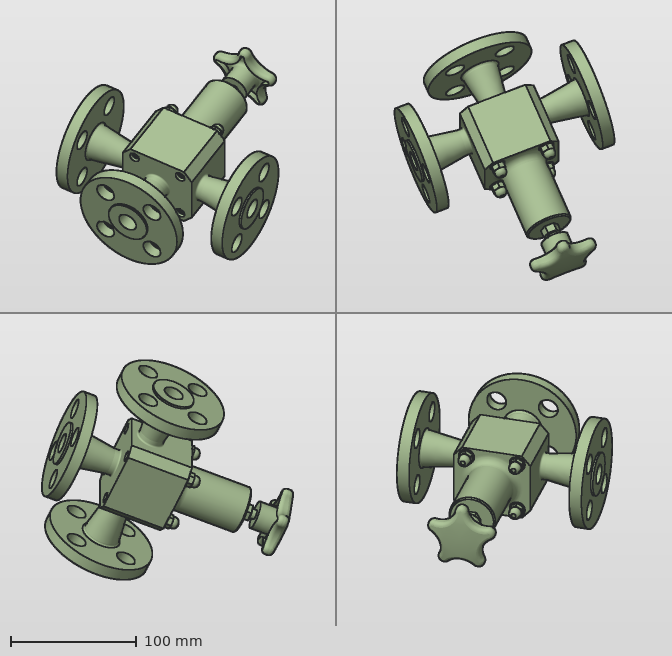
import cadquery as cq
import math


FACE_TO_FACE = 156.0
OVERALL_LENGTH = 192.3
WHEEL_TOP_Y = 129.6

BODY_HALF_X = 31.7
BODY_HALF_Z = 28.7
BODY_BACK_Y = 36.0
BODY_FRONT_Y = -16.2
CHAMFER_X = 7.1
CHAMFER_Z = 8.0

SIDE_REACH = FACE_TO_FACE / 2
FRONT_REACH = OVERALL_LENGTH - WHEEL_TOP_Y
SIDE_FLANGE_THICKNESS = 10.2
FRONT_FLANGE_THICKNESS = 9.6
FLANGE_DIAMETER = 88.9
RAISED_FACE_DIAMETER = 35.0
RAISED_FACE_HEIGHT = 1.7
PORT_DIAMETER = 15.8
FLANGE_HOLE_DIAMETER = 15.8
FLANGE_HOLE_OFFSET = 21.3
NECK_DIAMETER = 21.3
NECK_START = 41.4
CONE_START = 14.0
CONE_DIAMETER = 29.8
FLANGE_FLARE = 1.3
WELD_FLARE = 1.3

BONNET_DIAMETER = 38.0
BONNET_TOP_Y = 93.5
BONNET_CHAMFER = 1.2
BONNET_FLARE = 6.3
HEX_ACROSS_CORNERS = 14.6
HEX_TOP_Y = 99.8
SPINDLE_DIAMETER = 7.9

STUD_OFFSET = 21.0
WASHER_DIAMETER = 12.7
WASHER_THICKNESS = 0.4
NUT_ACROSS_FLATS = 10.0
NUT_HEX_HEIGHT = 4.6
NUT_COLLAR_HEIGHT = 1.2
NUT_DOME_DIAMETER = 9.6
NUT_DOME_HEIGHT = 4.6
NUT_TIP_DIAMETER = 3.7
STUD_RECESS_DIAMETER = 8.3
STUD_RECESS_DEPTH = 3.8
STUD_DIAMETER = 7.5
STUD_END_HEIGHT = 1.2
STUD_CENTRE_DIAMETER = 4.5
STUD_CENTRE_DEPTH = 1.5

WHEEL_HUB_Y = 104.5
WHEEL_RIM_Y = 117.3
HUB_END_DIAMETER = 22.9
HUB_ROOT_DIAMETER = 22.5
LOBES = 5
LOBE_CENTRE = 23.8
LOBE_RADIUS = 5.0
HOLLOW_RADIUS = 14.5
CROWN_RADIUS = 111.5
RIM_FILLET = 3.7
WHEEL_WALL = 3.3
CAVITY_FLOOR_Y = 122.5
HUB_FILLET = 3.0

CORNER_TO_FLAT = 30
CORNERS = [(sx, sz) for sx in (-1, 1) for sz in (-1, 1)]


def solid_of_revolution(profile):
    """Turn an outline drawn as (radius, y) about the Y axis."""
    return profile.close().revolve(360, (0, 0, 0), (0, 1, 0))


def rod(diameter, y_start, y_end, x=0.0, z=0.0):
    """Cylinder along Y."""
    return cq.Workplane("XZ", origin=(x, y_start, z)).circle(diameter / 2).extrude(y_start - y_end)


def hexagon(across_corners, y_start, y_end, x=0.0, z=0.0, turn=0.0):
    """Hexagonal prism along Y, with two corners along X unless turned."""
    prism = cq.Workplane("XZ").polygon(6, across_corners).extrude(y_start - y_end)
    return prism.rotate((0, 0, 0), (0, 1, 0), turn).translate((x, y_start, z))


def make_body():
    flat_x = BODY_HALF_X - CHAMFER_X
    flat_z = BODY_HALF_Z - CHAMFER_Z
    outline = [
        (BODY_HALF_X, flat_z), (flat_x, BODY_HALF_Z),
        (-flat_x, BODY_HALF_Z), (-BODY_HALF_X, flat_z),
        (-BODY_HALF_X, -flat_z), (-flat_x, -BODY_HALF_Z),
        (flat_x, -BODY_HALF_Z), (BODY_HALF_X, -flat_z),
    ]
    plane = cq.Workplane("XZ", origin=(0, BODY_FRONT_Y, 0))
    return plane.polyline(outline).close().extrude(BODY_FRONT_Y - BODY_BACK_Y)


def make_nozzle(reach, body_face, flange_thickness):
    """Hollow weld-neck flange pointing along -Y, from the body face out to `reach`."""
    port_r = PORT_DIAMETER / 2
    neck_r = NECK_DIAMETER / 2
    cone_r = CONE_DIAMETER / 2
    face_y = RAISED_FACE_HEIGHT - reach
    flange_back_y = face_y + flange_thickness
    cone_y = CONE_START - reach
    neck_y = NECK_START - reach
    weld_y = -body_face - WELD_FLARE
    bulge = 1 - math.sqrt(0.5)
    flare_mid = (cone_r + FLANGE_FLARE * bulge, cone_y - (cone_y - flange_back_y) * (1 - bulge))
    weld_mid = (neck_r + WELD_FLARE * bulge, weld_y + WELD_FLARE * (1 - bulge))
    profile = (
        cq.Workplane("XY")
        .moveTo(port_r, -reach)
        .lineTo(RAISED_FACE_DIAMETER / 2, -reach)
        .lineTo(RAISED_FACE_DIAMETER / 2, face_y)
        .lineTo(FLANGE_DIAMETER / 2, face_y)
        .lineTo(FLANGE_DIAMETER / 2, flange_back_y)
        .lineTo(cone_r + FLANGE_FLARE, flange_back_y)
        .threePointArc(flare_mid, (cone_r, cone_y))
        .lineTo(neck_r, neck_y)
        .lineTo(neck_r, weld_y)
        .threePointArc(weld_mid, (neck_r + WELD_FLARE, -body_face))
        .lineTo(port_r, -body_face)
    )
    nozzle = solid_of_revolution(profile)
    for sx, sz in CORNERS:
        x = sx * FLANGE_HOLE_OFFSET
        z = sz * FLANGE_HOLE_OFFSET
        nozzle = nozzle.cut(rod(FLANGE_HOLE_DIAMETER, face_y, flange_back_y, x, z))
    return nozzle


def make_bonnet():
    bonnet_r = BONNET_DIAMETER / 2
    flare_top_y = BODY_BACK_Y + BONNET_FLARE
    bulge = BONNET_FLARE * (1 - math.sqrt(0.5))
    profile = (
        cq.Workplane("XY")
        .moveTo(0, BODY_BACK_Y)
        .lineTo(bonnet_r + BONNET_FLARE, BODY_BACK_Y)
        .threePointArc((bonnet_r + bulge, BODY_BACK_Y + bulge), (bonnet_r, flare_top_y))
        .lineTo(bonnet_r, BONNET_TOP_Y - BONNET_CHAMFER)
        .lineTo(bonnet_r - BONNET_CHAMFER, BONNET_TOP_Y)
        .lineTo(0, BONNET_TOP_Y)
    )
    bonnet = solid_of_revolution(profile)
    bonnet = bonnet.union(hexagon(HEX_ACROSS_CORNERS, BONNET_TOP_Y, HEX_TOP_Y))
    return bonnet.union(rod(SPINDLE_DIAMETER, HEX_TOP_Y, WHEEL_HUB_Y))


def make_cap_nut(x, z):
    """Washer and domed hexagon nut standing on the back of the body."""
    washer_top_y = BODY_BACK_Y + WASHER_THICKNESS
    collar_y = washer_top_y + NUT_HEX_HEIGHT
    dome_y = collar_y + NUT_COLLAR_HEIGHT
    tip_y = dome_y + NUT_DOME_HEIGHT
    dome_r = NUT_DOME_DIAMETER / 2
    tip_r = NUT_TIP_DIAMETER / 2
    corner = NUT_ACROSS_FLATS / math.cos(math.radians(CORNER_TO_FLAT))
    diagonal = math.sqrt(0.5)
    dome_mid = (tip_r + (dome_r - tip_r) * diagonal, dome_y + NUT_DOME_HEIGHT * diagonal)
    dome = solid_of_revolution(
        cq.Workplane("XY")
        .moveTo(0, washer_top_y)
        .lineTo(dome_r, washer_top_y)
        .lineTo(dome_r, dome_y)
        .threePointArc(dome_mid, (tip_r, tip_y))
        .lineTo(0, tip_y)
    )
    nut = rod(WASHER_DIAMETER, BODY_BACK_Y, washer_top_y, x, z)
    nut = nut.union(hexagon(corner, washer_top_y, collar_y, x, z, turn=CORNER_TO_FLAT))
    return nut.union(dome.translate((x, 0, z)))


def make_stud_recess(x, z):
    """Counterbore in the front of the body that leaves the centre-drilled stud end standing."""
    floor_y = BODY_FRONT_Y + STUD_RECESS_DEPTH
    stud_y = floor_y - STUD_END_HEIGHT
    centre = solid_of_revolution(
        cq.Workplane("XY")
        .moveTo(0, stud_y)
        .lineTo(STUD_CENTRE_DIAMETER / 2, stud_y)
        .lineTo(0, stud_y + STUD_CENTRE_DEPTH)
    )
    recess = rod(STUD_RECESS_DIAMETER, BODY_FRONT_Y, floor_y, x, z)
    recess = recess.cut(rod(STUD_DIAMETER, stud_y, floor_y, x, z))
    return recess.union(centre.translate((x, 0, z)))


def lobed_prism(inset, y_start, y_end):
    """Star-shaped prism along Y: round lobes joined by tangent hollows, with one lobe at +Z."""
    pitch = 2 * math.pi / LOBES
    lobe_r = LOBE_RADIUS - inset
    hollow_r = HOLLOW_RADIUS + inset
    half_gap = LOBE_CENTRE * math.sin(pitch / 2)
    centre_gap = LOBE_RADIUS + HOLLOW_RADIUS
    hollow_centre = LOBE_CENTRE * math.cos(pitch / 2) + math.sqrt(centre_gap**2 - half_gap**2)
    contact = lobe_r / centre_gap
    contact_along = LOBE_CENTRE + (hollow_centre * math.cos(pitch / 2) - LOBE_CENTRE) * contact
    contact_across = hollow_centre * math.sin(pitch / 2) * contact

    def place(angle, along, across=0.0):
        """Point given along and across a ray from the wheel centre."""
        return (
            along * math.cos(angle) - across * math.sin(angle),
            along * math.sin(angle) + across * math.cos(angle),
        )

    first_lobe = math.pi / 2
    plane = cq.Workplane("XZ", origin=(0, y_start, 0))
    outline = plane.moveTo(*place(first_lobe, contact_along, -contact_across))
    for i in range(LOBES):
        lobe = first_lobe + i * pitch
        lobe_tip = place(lobe, LOBE_CENTRE + lobe_r)
        lobe_end = place(lobe, contact_along, contact_across)
        hollow_bottom = place(lobe + pitch / 2, hollow_centre - hollow_r)
        next_lobe = place(lobe + pitch, contact_along, -contact_across)
        outline = outline.threePointArc(lobe_tip, lobe_end).threePointArc(hollow_bottom, next_lobe)
    return outline.close().extrude(y_start - y_end)


def make_handwheel():
    crown = cq.Workplane("XY").sphere(CROWN_RADIUS).translate((0, WHEEL_TOP_Y - CROWN_RADIUS, 0))
    blank_top_y = WHEEL_TOP_Y + LOBE_RADIUS
    wheel = lobed_prism(0, WHEEL_RIM_Y, blank_top_y).intersect(crown)
    wheel = wheel.faces("<Y").edges().fillet(RIM_FILLET)
    wheel = wheel.faces(">Y").edges().fillet(RIM_FILLET)
    wheel = wheel.cut(lobed_prism(WHEEL_WALL, WHEEL_RIM_Y, CAVITY_FLOOR_Y))

    root_r = HUB_ROOT_DIAMETER / 2
    fillet_y = CAVITY_FLOOR_Y - HUB_FILLET
    bulge = HUB_FILLET * (1 - math.sqrt(0.5))
    hub = solid_of_revolution(
        cq.Workplane("XY")
        .moveTo(0, WHEEL_HUB_Y)
        .lineTo(HUB_END_DIAMETER / 2, WHEEL_HUB_Y)
        .lineTo(root_r, fillet_y)
        .threePointArc((root_r + bulge, CAVITY_FLOOR_Y - bulge), (root_r + HUB_FILLET, CAVITY_FLOOR_Y))
        .lineTo(0, CAVITY_FLOOR_Y)
    )
    return wheel.union(hub)


result = make_body().union(make_bonnet())
side_nozzle = make_nozzle(SIDE_REACH, BODY_HALF_X, SIDE_FLANGE_THICKNESS)
front_nozzle = make_nozzle(FRONT_REACH, -BODY_FRONT_Y, FRONT_FLANGE_THICKNESS)
result = result.union(front_nozzle)
for turn in (-90, 90):
    result = result.union(side_nozzle.rotate((0, 0, 0), (0, 0, 1), turn))
for sx, sz in CORNERS:
    result = result.union(make_cap_nut(sx * STUD_OFFSET, sz * STUD_OFFSET))
    result = result.cut(make_stud_recess(sx * STUD_OFFSET, sz * STUD_OFFSET))
result = result.union(make_handwheel())